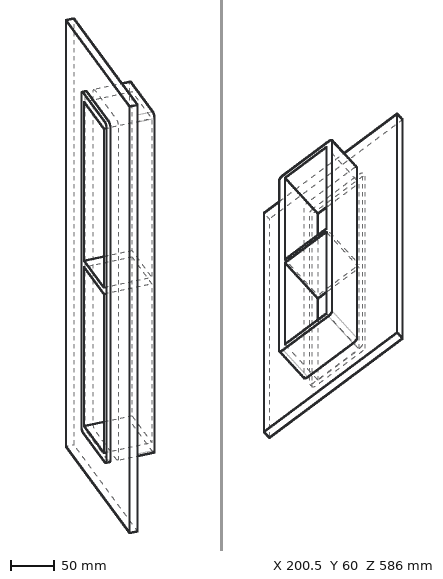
import cadquery as cq

plate_width = 200.5
plate_height = 586.0
plate_thickness = 10.0

sleeve_width = 79.5
sleeve_height = 467.5
sleeve_depth = 60.0
sleeve_corner_radius = 6.0
front_projection = 4.5

side_wall = 9.0
end_wall = 11.0
crossbar_thickness = 9.0
window_width = sleeve_width - 2 * side_wall
window_height = (sleeve_height - 2 * end_wall - crossbar_thickness) / 2
window_offset = (window_height + crossbar_thickness) / 2


def upright_block(width, height, depth, front_y):
    """Block centred on X and Z, running from front_y towards +Y."""
    block = cq.Workplane("XY").box(width, depth, height)
    return block.translate((0, front_y + depth / 2, 0))


plate = upright_block(plate_width, plate_height, plate_thickness, 0)
sleeve = upright_block(sleeve_width, sleeve_height, sleeve_depth, -front_projection)
sleeve = sleeve.edges("|Y").fillet(sleeve_corner_radius)
result = plate.union(sleeve)

window = upright_block(window_width, window_height, sleeve_depth, -front_projection)
for side in (-1, 1):
    result = result.cut(window.translate((0, 0, side * window_offset)))